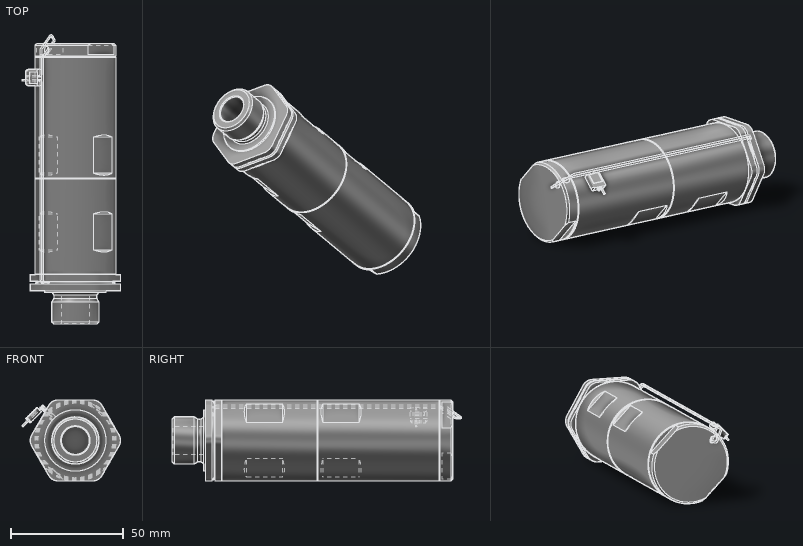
import cadquery as cq
import math

COLLAR_START = 14.0
HEX_START = 14.8
LOWER_SLEEVE_START = 21.9
UPPER_SLEEVE_START = 64.5
CAP_START = 118.5
CAP_END = 124.4

HOUSING_DIAMETER = 36.0
HOUSING_RADIUS = HOUSING_DIAMETER / 2
JOINT_CHAMFER = 0.3
CAP_CHAMFER = 0.9
FLAT_ANGLE = 45
SLEEVE_FLAT_DISTANCE = 17.0
SLEEVE_FLAT_LENGTH = 15.9
LOWER_FLAT_START = 33.0
UPPER_FLAT_START = 67.0
CAP_FLAT_DISTANCE = 16.0
CAP_FLAT_START = 119.5

HEX_CORNER_FILLET = 5.0
HEX_GROOVE_START = 17.8
HEX_GROOVE_END = 19.0
HEX_GROOVE_RADIUS = 16.5
COLLAR_RADIUS = 13.6
NIPPLE_RADIUS = 10.5
NIPPLE_CHAMFER = 1.0
THREAD_END = 9.7
NECK_START = 11.3
NECK_MIDDLE = 12.0
NECK_END = 13.0
NECK_RADIUS = 9.6
NECK_MIDDLE_RADIUS = 9.5
NECK_ROOT_RADIUS = 10.3
BORE_RADIUS = 6.2
BORE_CHAMFER = 0.4

WIRE_RADIUS = 0.4
WIRE_HEIGHT = 21.0
STRAND_OFFSET = 0.5
RING_RADIUS = 17.2
RING_Y = HEX_GROOVE_START + WIRE_RADIUS
LOOP_LOW_BEND = 118.3
LOOP_HIGH_BEND = 121.9
LOOP_TOP = 128.3
LOOP_RETURN_DROP = 2.6
CAP_HOLE_RADIUS = 1.3
LOOP_BEND = 0.5
SEAL_BEND = 1.0
GROOVE_BEND = 1.7

SEAL_INNER = 1.7
SEAL_OUTER = 8.7
SEAL_WIDTH = 7.5
SEAL_THICKNESS = 2.8
SEAL_CENTRE_Y = 109.3
SEAL_EDGE_FILLET = 1.2
SEAL_CORNER_CHAMFER = 0.8
WINDOW_OUTER = 6.4
WINDOW_WIDTH = SEAL_WIDTH - 2 * SEAL_EDGE_FILLET
WINDOW_DEPTH = 0.3
SHORT_TAIL_Y = 109.9
SHORT_TAIL_END = 9.9
LONG_TAIL_Y = 108.1
LONG_TAIL_END = 12.0


def wire_point(side, height, y):
    """Point given by its sideways offset and its height in the 45 degree direction."""
    return cq.Vector(-(side + height) / math.sqrt(2), y, (height - side) / math.sqrt(2))


def disc(radius, start, end):
    """Cylinder on the Y axis."""
    return cq.Workplane("XZ", origin=(0, start, 0)).circle(radius).extrude(start - end)


def turned_to_flats(shape):
    """Turn a shape made for a +X flat to the flat direction."""
    return shape.rotate((0, 0, 0), (0, 1, 0), -FLAT_ANGLE)


def sleeve(start, end, flat_start):
    """Round sleeve with two opposite wrench recesses that have 45 degree ends."""
    body = disc(HOUSING_RADIUS, start, end).faces("<Y or >Y").chamfer(JOINT_CHAMFER)
    depth = HOUSING_RADIUS - SLEEVE_FLAT_DISTANCE
    flat_end = flat_start + SLEEVE_FLAT_LENGTH
    cutter = (
        cq.Workplane("XY")
        .polyline([
            (SLEEVE_FLAT_DISTANCE, flat_start),
            (HOUSING_RADIUS, flat_start - depth),
            (HOUSING_RADIUS, flat_end + depth),
            (SLEEVE_FLAT_DISTANCE, flat_end),
        ])
        .close()
        .extrude(HOUSING_RADIUS, both=True)
    )
    for cut in (cutter, cutter.mirror("YZ")):
        body = body.cut(turned_to_flats(cut))
    return body


def end_cap():
    """Closed end cap with two wrench flats and a slanted hole for the seal wire."""
    body = disc(HOUSING_RADIUS, CAP_START, CAP_END)
    body = body.faces(">Y").chamfer(CAP_CHAMFER).faces("<Y").chamfer(JOINT_CHAMFER)
    flat_length = CAP_END - CAP_FLAT_START
    cutter = cq.Workplane("XY").box(HOUSING_RADIUS, flat_length, HOUSING_DIAMETER).translate(
        (CAP_FLAT_DISTANCE + HOUSING_RADIUS / 2, CAP_FLAT_START + flat_length / 2, 0)
    )
    for cut in (cutter, cutter.mirror("YZ")):
        body = body.cut(turned_to_flats(cut))
    hole_start = wire_point(0, WIRE_HEIGHT, LOOP_LOW_BEND)
    hole_direction = wire_point(0, -1, 1)
    hole = cq.Solid.makeCylinder(CAP_HOLE_RADIUS, HOUSING_RADIUS, hole_start, hole_direction)
    return body.cut(cq.Workplane(hole))


def hex_connector():
    """Grooved double hexagon with a collar and a bored nipple."""
    hexagon = (
        cq.Workplane("XZ", origin=(0, HEX_START, 0))
        .polygon(6, HOUSING_DIAMETER / math.cos(math.pi / 6))
        .extrude(HEX_START - LOWER_SLEEVE_START)
        .edges("|Y")
        .fillet(HEX_CORNER_FILLET)
    )
    groove = disc(HOUSING_DIAMETER, HEX_GROOVE_START, HEX_GROOVE_END)
    groove = groove.cut(disc(HEX_GROOVE_RADIUS, HEX_GROOVE_START, HEX_GROOVE_END))
    nipple = (
        cq.Workplane("XY")
        .polyline([
            (0, 0),
            (NIPPLE_RADIUS - NIPPLE_CHAMFER, 0),
            (NIPPLE_RADIUS, NIPPLE_CHAMFER),
            (NIPPLE_RADIUS, THREAD_END),
            (NECK_RADIUS, NECK_START),
            (NECK_MIDDLE_RADIUS, NECK_MIDDLE),
            (NECK_RADIUS, NECK_END),
            (NECK_ROOT_RADIUS, COLLAR_START),
            (COLLAR_RADIUS, COLLAR_START),
            (COLLAR_RADIUS, HEX_START),
            (0, HEX_START),
        ])
        .close()
        .revolve(360, (0, 0, 0), (0, 1, 0))
    )
    bore = (
        cq.Workplane("XY")
        .polyline([
            (0, 0),
            (BORE_RADIUS + BORE_CHAMFER, 0),
            (BORE_RADIUS, BORE_CHAMFER),
            (BORE_RADIUS, COLLAR_START),
            (0, COLLAR_START),
        ])
        .close()
        .revolve(360, (0, 0, 0), (0, 1, 0))
    )
    return hexagon.cut(groove).union(nipple).cut(bore)


def bent_rod(start, corners, end):
    """Round rod through the given corners, each a (point, bend radius) pair."""
    edges = []
    points = [start] + [point for point, _ in corners] + [end]
    last = start
    for index, (corner, bend) in enumerate(corners):
        back = (points[index] - corner).normalized()
        ahead = (points[index + 2] - corner).normalized()
        half_angle = back.getAngle(ahead) / 2
        trim = bend / math.tan(half_angle)
        apex_distance = bend / math.sin(half_angle) - bend
        arc_start = corner + back * trim
        arc_end = corner + ahead * trim
        arc_middle = corner + (back + ahead).normalized() * apex_distance
        edges.append(cq.Edge.makeLine(last, arc_start))
        edges.append(cq.Edge.makeThreePointArc(arc_start, arc_middle, arc_end))
        last = arc_end
    edges.append(cq.Edge.makeLine(last, end))
    path = cq.Workplane(cq.Wire.assembleEdges(edges))
    section = cq.Workplane(cq.Plane(start, normal=points[1] - start)).circle(WIRE_RADIUS)
    return section.sweep(path)


def ring_end(side):
    """Centre of an end of the ring that lies in the hexagon groove."""
    return wire_point(side, math.sqrt(RING_RADIUS ** 2 - side ** 2), RING_Y)


def seal_wire():
    """Wire from the short tail over the cap loop and round the groove to the long tail."""
    near, far = STRAND_OFFSET, -STRAND_OFFSET
    loop_height = WIRE_HEIGHT - (LOOP_TOP - LOOP_HIGH_BEND)
    return_y = LOOP_TOP - LOOP_RETURN_DROP
    return_height = WIRE_HEIGHT - (return_y - LOOP_LOW_BEND)
    upper_run = bent_rod(
        wire_point(SHORT_TAIL_END, WIRE_HEIGHT, SHORT_TAIL_Y),
        [
            (wire_point(near, WIRE_HEIGHT, SHORT_TAIL_Y), SEAL_BEND),
            (wire_point(near, WIRE_HEIGHT, LOOP_HIGH_BEND), LOOP_BEND),
            (wire_point(near, loop_height, LOOP_TOP), LOOP_BEND),
            (wire_point(far, return_height, return_y), LOOP_BEND),
            (wire_point(far, WIRE_HEIGHT, LOOP_LOW_BEND), LOOP_BEND),
            (wire_point(far, WIRE_HEIGHT, RING_Y), GROOVE_BEND),
        ],
        ring_end(far),
    )
    lower_run = bent_rod(
        wire_point(LONG_TAIL_END, WIRE_HEIGHT, LONG_TAIL_Y),
        [
            (wire_point(near, WIRE_HEIGHT, LONG_TAIL_Y), SEAL_BEND),
            (wire_point(near, WIRE_HEIGHT, RING_Y), GROOVE_BEND),
        ],
        ring_end(near),
    )
    ring_path = cq.Edge.makeThreePointArc(
        ring_end(near), wire_point(0, -RING_RADIUS, RING_Y), ring_end(far)
    )
    ring_plane = cq.Plane(ring_end(near), normal=ring_path.tangentAt(0))
    ring = cq.Workplane(ring_plane).circle(WIRE_RADIUS).sweep(cq.Workplane(ring_path))
    wire = upper_run.union(lower_run).union(ring)
    for side in (near, far):
        joint = cq.Workplane("XY").sphere(WIRE_RADIUS).translate(ring_end(side))
        wire = wire.union(joint)
    return wire


def seal_block(wire):
    """Rounded block crimped on the two wire ends, with a shallow window on its outer face."""
    plane = cq.Plane(
        wire_point(0, WIRE_HEIGHT, SEAL_CENTRE_Y),
        xDir=wire_point(1, 0, 0),
        normal=wire_point(0, 1, 0),
    )
    length = SEAL_OUTER - SEAL_INNER
    blank = (
        cq.Workplane("XY")
        .box(length, SEAL_WIDTH, SEAL_THICKNESS, centered=(False, True, True))
        .translate((SEAL_INNER, 0, 0))
    )
    rounded = blank.edges("|X").fillet(SEAL_EDGE_FILLET)
    block = rounded.intersect(blank.edges("|Z and >X").chamfer(SEAL_CORNER_CHAMFER))
    window_length = WINDOW_OUTER - SEAL_INNER
    window = (
        cq.Workplane("XY", origin=(SEAL_INNER, 0, SEAL_THICKNESS / 2 - WINDOW_DEPTH))
        .box(window_length, WINDOW_WIDTH, SEAL_THICKNESS, centered=(False, True, False))
    )
    block = block.cut(window)
    placed = cq.Workplane(block.val().moved(cq.Location(plane)))
    return placed.cut(wire)


connector = hex_connector()
lower_sleeve = sleeve(LOWER_SLEEVE_START, UPPER_SLEEVE_START, LOWER_FLAT_START)
upper_sleeve = sleeve(UPPER_SLEEVE_START, CAP_START, UPPER_FLAT_START)
cap = end_cap()
wire = seal_wire()
seal = seal_block(wire)

result = cq.Compound.makeCompound([
    connector.solids().val(),
    lower_sleeve.solids().val(),
    upper_sleeve.solids().val(),
    cap.solids().val(),
    wire.solids().val(),
    seal.solids().val(),
])